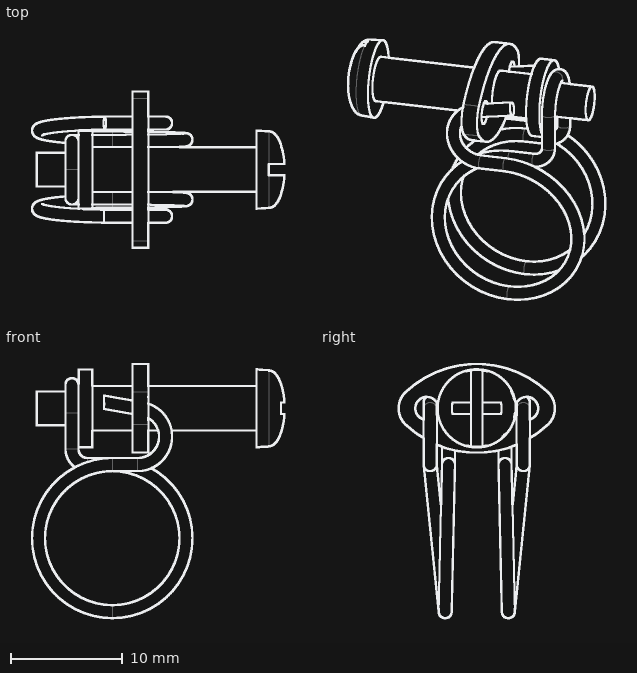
import cadquery as cq
import math

tip_radius = 1.53
shaft_radius = 2.0
head_radius = 3.5
dome_radius = 3.45
collar_radius = 3.49
collar_start = 3.75
collar_thickness = 1.23
head_start = 19.68
head_rim = 1.12
dome_height = 1.44
head_end = head_start + head_rim + dome_height
slot_width = 1.0
slot_depth = 1.44
cross_slot_depth = 0.35

plate_start = 8.57
plate_thickness = 1.44
plate_half_height = 3.99
plate_width = 14.0
plate_half_width = plate_width / 2
plate_end_radius = 2.0
eyelet_radius = 1.03
eyelet_offset = 4.46

wire_radius = 0.6
leg_x = collar_start - wire_radius
leg_y = 2.53
saddle_z = tip_radius + wire_radius - leg_y
foot_bend_radius = 1.4
ring_radius = 6.58
ring_x = 6.79
ring_z = -11.62
ring_top = ring_z + ring_radius
ring_bottom = ring_z - ring_radius
ring_bottom_y = 2.82
tail_y = 4.17
tail_bend_x = 9.05
tail_bend_radius = 2.5
tail_angle = math.radians(10)
tail_end_x = 6.1
trimmed_tail_x = 6.01
tail_surplus = 2 * wire_radius
trim_width = 3 * wire_radius
trim_height = 6 * wire_radius


def cylinder_along_x(start, length, radius):
    return cq.Workplane("YZ", origin=(start, 0, 0)).circle(radius).extrude(length)


def make_head():
    """Domed head with a slightly tapered rim and two crossing slots."""
    rim_end = head_start + head_rim
    head = (
        cq.Workplane("XY")
        .moveTo(head_start, 0)
        .lineTo(head_start, head_radius)
        .lineTo(rim_end, dome_radius)
        .ellipseArc(dome_height, dome_radius, 0, 90, sense=-1, startAtCurrent=True)
        .close()
        .revolve(360, (0, 0, 0), (1, 0, 0))
    )
    slot_length = 2 * head_radius
    slot_center = cq.Workplane("XY", origin=(head_end, 0, 0))
    slot = slot_center.box(2 * slot_depth, slot_width, slot_length)
    cross_slot = slot_center.box(2 * cross_slot_depth, slot_length, slot_width)
    return head.cut(slot).cut(cross_slot)


def make_pin():
    tip = cylinder_along_x(0, collar_start, tip_radius)
    collar = cylinder_along_x(collar_start, collar_thickness, collar_radius)
    shaft = cylinder_along_x(collar_start, head_start - collar_start, shaft_radius)
    return tip.union(collar).union(shaft).union(make_head())


def make_plate():
    end_y = plate_half_width - plate_end_radius
    rise = plate_half_height - plate_end_radius
    long_arc_center = (end_y**2 - rise**2) / (2 * rise)
    center_distance = math.hypot(end_y, long_arc_center)
    join_y = end_y + plate_end_radius * end_y / center_distance
    join_z = plate_end_radius * long_arc_center / center_distance
    plate = (
        cq.Workplane("YZ", origin=(plate_start, 0, 0))
        .moveTo(-join_y, join_z)
        .threePointArc((0, plate_half_height), (join_y, join_z))
        .threePointArc((plate_half_width, 0), (join_y, -join_z))
        .threePointArc((0, -plate_half_height), (-join_y, -join_z))
        .threePointArc((-plate_half_width, 0), (-join_y, join_z))
        .close()
        .extrude(plate_thickness)
    )
    shaft_hole = cylinder_along_x(plate_start, plate_thickness, shaft_radius)
    eyelets = (
        cq.Workplane("YZ", origin=(plate_start, 0, 0))
        .pushPoints([(-eyelet_offset, 0), (eyelet_offset, 0)])
        .circle(eyelet_radius)
        .extrude(plate_thickness)
    )
    return plate.cut(shaft_hole).cut(eyelets)


def half_ring(start, end, side):
    """Tilted semicircle from start to end, bulging toward +X (side 1) or -X (side -1)."""
    middle = (start + end) * 0.5
    bulge = cq.Vector(side * (end - start).Length / 2, 0, 0)
    return cq.Edge.makeThreePointArc(start, middle + bulge, end)


def half_clip_path(end_x):
    """Centreline of the +Y half, from the saddle top to a tail ending at end_x."""
    saddle_top = cq.Vector(leg_x, 0, saddle_z + leg_y)
    leg_top = cq.Vector(leg_x, leg_y, saddle_z)
    leg_bottom = cq.Vector(leg_x, leg_y, ring_top + foot_bend_radius)
    foot = cq.Vector(leg_x + foot_bend_radius, leg_y, ring_top)
    ring_start = cq.Vector(ring_x, leg_y, ring_top)
    ring_low = cq.Vector(ring_x, ring_bottom_y, ring_bottom)
    ring_finish = cq.Vector(ring_x, tail_y, ring_top)
    bend_start = cq.Vector(tail_bend_x, tail_y, ring_top)
    bend_center = cq.Vector(tail_bend_x, tail_y, ring_top + tail_bend_radius)
    bend_side = bend_center + cq.Vector(tail_bend_radius, 0, 0)
    bend_end = bend_center + cq.Vector(math.sin(tail_angle), 0, math.cos(tail_angle)) * tail_bend_radius
    tail_run = bend_end.x - end_x
    tail_end = bend_end + cq.Vector(-tail_run, 0, tail_run * math.tan(tail_angle))
    edges = [
        cq.Edge.makeTangentArc(saddle_top, cq.Vector(0, 1, 0), leg_top),
        cq.Edge.makeLine(leg_top, leg_bottom),
        cq.Edge.makeTangentArc(leg_bottom, cq.Vector(0, 0, -1), foot),
        cq.Edge.makeLine(foot, ring_start),
        half_ring(ring_start, ring_low, 1),
        half_ring(ring_low, ring_finish, -1),
        cq.Edge.makeLine(ring_finish, bend_start),
        cq.Edge.makeThreePointArc(bend_start, bend_side, bend_end),
        cq.Edge.makeLine(bend_end, tail_end),
    ]
    return cq.Wire.assembleEdges(edges)


def make_half_clip(end_x):
    section = cq.Workplane("XZ", origin=(leg_x, 0, saddle_z + leg_y)).circle(wire_radius)
    return section.sweep(cq.Workplane(half_clip_path(end_x)))


def make_clip():
    square_half = make_half_clip(tail_end_x)
    long_half = make_half_clip(trimmed_tail_x - tail_surplus)
    trim = cq.Workplane("XY", origin=(trimmed_tail_x - tail_surplus, tail_y, 0)).box(
        2 * tail_surplus, trim_width, trim_height
    )
    trimmed_half = long_half.cut(trim)
    return square_half.union(trimmed_half.mirror("XZ"))


pin = make_pin()
plate = make_plate()
clip = make_clip()

bodies = [body.solids().val() for body in (pin, plate, clip)]
result = cq.Compound.makeCompound(bodies)